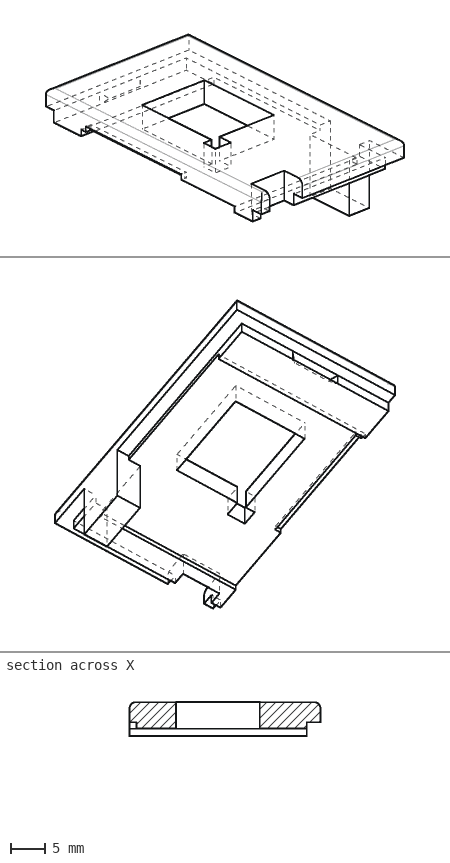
import cadquery as cq

plate_length = 47.44
plate_width = 27.97
plate_thickness = 3.0
edge_radius = 1.0

base_left = 1.7
base_right = 45.5
rear_inset = 2.0
base_width = plate_width - rear_inset
left_foot_right = 7.75
left_foot_bottom = 5.0
middle_bottom = 3.9
right_foot_left = 41.5
right_foot_bottom = 4.9

post_left = 31.16
post_right = 39.8
post_depth = 4.0
post_front = plate_width - post_depth
total_height = 14.05

relief_left = 8.8
relief_right = 29.75
relief_depth = 1.0

catch_width = 8.0
catch_depth = 1.0

window_left = 13.5
window_right = 28.8
window_front = 6.85
window_rear = 19.05
corner_hole_right = 31.35
corner_hole_front = 5.3
corner_hole_rear = 8.35

slot_left = 43.43
slot_front = 1.6
slot_rear = 8.03


def block(x_range, y_range, z_range):
    """Box between two limits on each axis."""
    (x0, x1), (y0, y1), (z0, z1) = x_range, y_range, z_range
    return cq.Workplane("XY").box(x1 - x0, y1 - y0, z1 - z0, centered=False).translate((x0, y0, z0))


def cover_plate():
    """Plate with its top edges rounded."""
    plate = block((0, plate_length), (0, plate_width), (-plate_thickness, 0))
    return plate.faces(">Z").edges().fillet(edge_radius)


def lower_layer():
    """Left foot, thin middle and right foot, with the pad that joins the post to the right foot."""
    full_width = (0, base_width)
    pad_width = (post_front, base_width)
    right_foot_span = (-right_foot_bottom, -plate_thickness)
    left_foot = block((base_left, left_foot_right), full_width, (-left_foot_bottom, -plate_thickness))
    middle = block((left_foot_right, right_foot_left), full_width, (-middle_bottom, -plate_thickness))
    right_foot = block((right_foot_left, base_right), full_width, right_foot_span)
    pad = block((post_right, right_foot_left), pad_width, right_foot_span)
    return left_foot.union(middle).union(right_foot).union(pad)


def post():
    """Rectangular post at the rear edge."""
    return block((post_left, post_right), (post_front, plate_width), (-total_height, -plate_thickness))


def edge_relief():
    """Cut under the front edge, as deep as the thin middle."""
    return block((relief_left, relief_right), (0, relief_depth), (-middle_bottom, -plate_thickness))


def catch_pocket():
    """Pocket narrowing at equal slopes to a ridge line at mid height of the foot."""
    foot_height = left_foot_bottom - plate_thickness
    middle_y = base_width / 2
    profile = [
        (base_left, -plate_thickness),
        (base_left + catch_depth, -plate_thickness - foot_height / 2),
        (base_left, -left_foot_bottom),
    ]
    wedge = (
        cq.Workplane("XZ", origin=(0, middle_y, 0))
        .polyline(profile)
        .close()
        .extrude(catch_width / 2, both=True)
    )
    tapered_sides = (
        cq.Workplane("XY")
        .polyline(
            [
                (base_left, middle_y - catch_width / 2),
                (base_left + catch_depth, middle_y - catch_width / 2 + catch_depth),
                (base_left + catch_depth, middle_y + catch_width / 2 - catch_depth),
                (base_left, middle_y + catch_width / 2),
            ]
        )
        .close()
        .extrude(-total_height)
    )
    return wedge.intersect(tapered_sides)


def openings():
    """Stepped window and edge slot, cut through the full height of the feet."""
    through = (-left_foot_bottom, 0)
    window = block((window_left, window_right), (window_front, window_rear), through)
    corner_hole = block((window_right, corner_hole_right), (corner_hole_front, corner_hole_rear), through)
    slot = block((slot_left, plate_length), (slot_front, slot_rear), through)
    return window.union(corner_hole).union(slot)


body = cover_plate().union(lower_layer()).union(post())
result = body.cut(edge_relief()).cut(catch_pocket()).cut(openings())